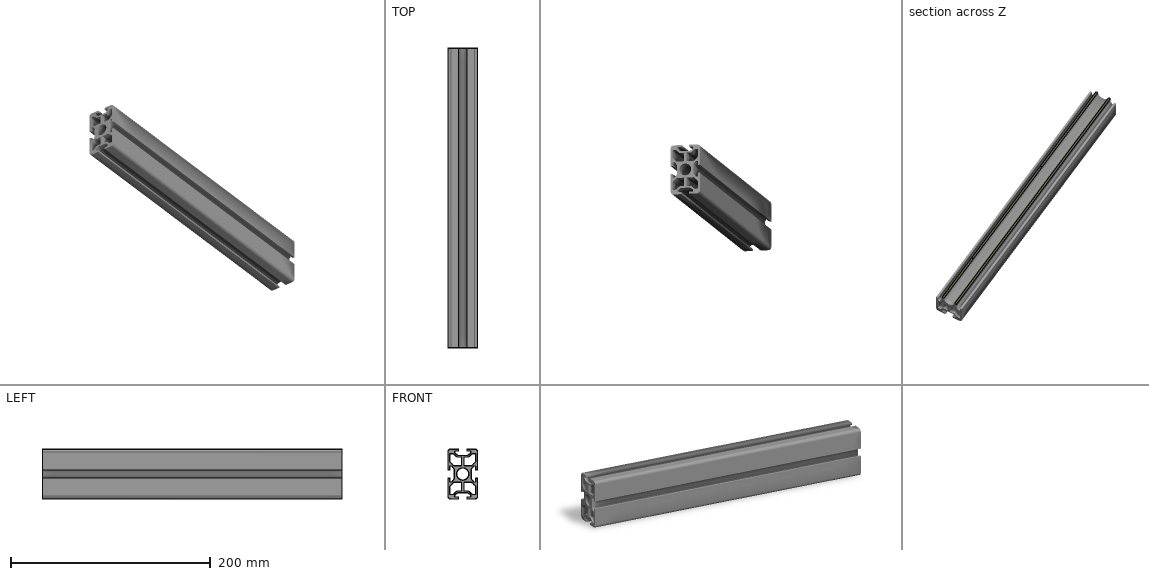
import cadquery as cq

length = 300.0
width = 30.0
height = 50.0
corner_radius = 3.0

half_width = width / 2
half_height = height / 2

slot_opening = 8.0
slot_inner_width = 15.5
slot_floor_width = 9.5
lip_thickness = 2.0
slot_shoulder_depth = 4.2
slot_depth = 6.3

bore_diameter = 12.0

side_wall = 2.0
center_web = 2.7
chamber_bottom = 8.5
chamber_chamfer = 4.0
corner_block = 4.8
slot_floor_wall = 1.8
chamber_ledge_start = 9.5
chamber_slope_end = 6.0


def extrude_profile(points):
    """Prism along Y, starting at the front end, from a closed outline in X and Z."""
    return cq.Workplane("XZ", origin=(0, -length / 2, 0)).polyline(points).close().extrude(-length)


def make_slot(face_distance):
    """T-slot cutter opening upward at the given distance from the axis."""
    right_side = [
        (slot_opening / 2, 0),
        (slot_opening / 2, lip_thickness),
        (slot_inner_width / 2, lip_thickness),
        (slot_inner_width / 2, slot_shoulder_depth),
        (slot_floor_width / 2, slot_depth),
    ]
    left_side = [(-x, depth) for x, depth in reversed(right_side)]
    return extrude_profile([(x, face_distance - depth) for x, depth in right_side + left_side])


def make_chamber():
    """Hollow chamber in the upper right quadrant (+X, +Z)."""
    inner_x = center_web / 2
    outer_x = half_width - side_wall
    ceiling_z = half_height - slot_depth - slot_floor_wall
    corner_z = half_height - corner_block
    return extrude_profile([
        (inner_x, chamber_bottom),
        (outer_x - chamber_chamfer, chamber_bottom),
        (outer_x, chamber_bottom + chamber_chamfer),
        (outer_x, corner_z),
        (chamber_ledge_start, corner_z),
        (chamber_slope_end, ceiling_z),
        (inner_x, ceiling_z),
    ])


result = cq.Workplane("XY").box(width, length, height).edges("|Y").fillet(corner_radius)

for face_distance, first_angle in ((half_height, 0), (half_width, 90)):
    slot = make_slot(face_distance)
    for angle in (first_angle, first_angle + 180):
        result = result.cut(slot.rotate((0, 0, 0), (0, 1, 0), angle))

right_chamber = make_chamber()
left_chamber = right_chamber.mirror("YZ")
for chamber in (right_chamber, left_chamber):
    result = result.cut(chamber).cut(chamber.mirror("XY"))

bore = cq.Workplane("XZ", origin=(0, -length / 2, 0)).circle(bore_diameter / 2).extrude(-length)
result = result.cut(bore)